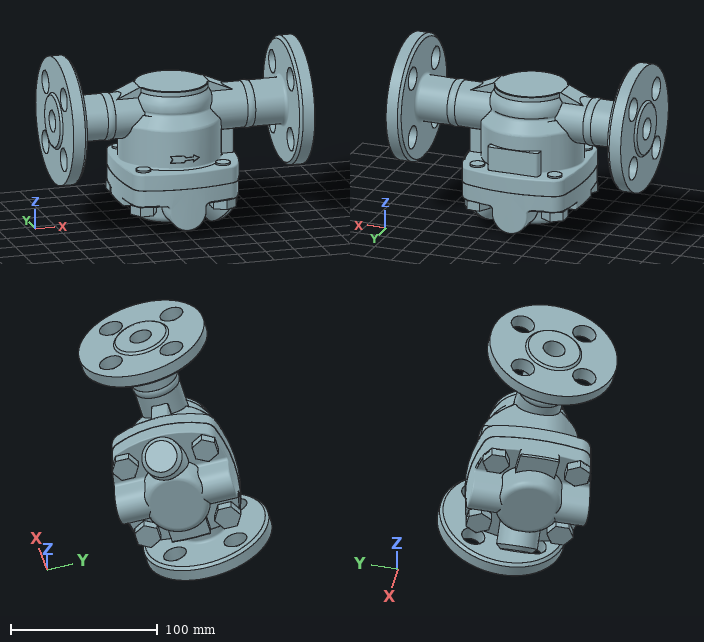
import cadquery as cq
import math

EMBED = 3.0
TOLERANCE = 0.01

FACE_TO_FACE = 175.0
PIPE_CENTRE_X = 3.0
FLANGE_D = 89.0
FLANGE_BACK = 12.0
FLANGE_CHAMFER = 2.0
RAISED_D = 39.0
RAISED_H = 1.6
RAISED_CHAMFER = 1.5
HUB_FILLET = 2.5
BOLT_CIRCLE_D = 60.5
LINE_BOLT_D = 16.0
LINE_BOLT_COUNT = 4
BORE_D = 15.0
BORE_DEPTH = 36.0
PIPE_D = 32.0
BEAD_H = 0.6
BEAD_W = 5.5
BEAD_CENTRE = 37.8

TOP_Z = 21.0
LIP_R = 25.2
LIP_CHAMFER = 0.5
LIP_BOTTOM_Z = 17.3
BULGE_TOP = (26.2, 15.5)
BULGE_R = 28.3
BULGE_Z = 10.0
BULGE_BOTTOM = (28.2, 6.2)
WAIST_R = 27.9
WAIST_Z = 4.4
CONE_TOP = (28.5, 3.3)
SHOULDER_Z = -4.3
BODY_R = 34.3
BODY_BASE_FILLET = 1.2
SHOULDER_FILLET = 3.0
FOOT_MAX_R = 36.95
FLARE_R = 28.0
FLARE_CENTRE_X = -8.9

WING_REACH = 41.5
WING_HALF_W = 8.2
WING_TIP_Z = 13.6

PAD_TOP_Z = -15.0
SIDE_PAD_X = 43.3
SIDE_PAD_W = 12.0
BACK_PAD_Y = 35.0
BACK_PAD_W = 37.0
PAD_CORNER = 2.0

ARROW_Z = -24.5
ARROW_H = 0.6
ARROW_TAIL_X = -10.5
ARROW_NOTCH = 1.5
ARROW_NECK_X = 0.0
ARROW_HEAD_X = 5.5
ARROW_TIP_X = 10.0
ARROW_HALF_W = 2.4
SHAFT_HALF_W = 1.0

SEAT_TOP_Z = -32.0
JOINT_Z = -43.9
COVER_BOTTOM_Z = -55.8
SEAT_LEFT_X = -39.5
SEAT_RIGHT_X = 44.8
SEAT_HALF_Y = 41.4
LEFT_CORNER = (-35.5, 35.4)
RIGHT_CORNER = (36.5, 35.2)
SEAT_CORNER_R = 9.5
SEAT_EDGE_FILLET = 1.5
COVER_EDGE_FILLET = 1.0
COVER_INSET = 0.2
RIM_MIN_X = 33.0
RIM_MIN_Y = 30.0
COVER_BOLT_PITCH = 56.6
COVER_BOLT_D = 10.0
COVER_BOLT_TIP = 1.2
HEX_AF = 16.0
HEX_H = 6.5

BOWL_BOTTOM_Z = -73.8
BOWL_R = 23.0
BOWL_DRAFT = 4.0
BOWL_SHIFT = 3.4
BOWL_FILLET = 4.5
BAR_R = 12.8
BAR_ROOT_FILLET = 2.5
TONGUE_W = 27.2
TONGUE_BOTTOM_Z = -60.8

STRAINER_D = 28.0
STRAINER_AXIS = (1, 0, -1)
STRAINER_RIM = (36.5, 0, -70.87)
STRAINER_CHAMFER = 3.0
STRAINER_LENGTH = 30.0


def disc(radius, bottom_z, top_z):
    return cq.Workplane("XY").workplane(offset=bottom_z).circle(radius).extrude(top_z - bottom_z)


def line_end():
    """Flange, weld bead and pipe from the raised face at x = 0 inward along +X, with no bore."""
    outer_r = FLANGE_D / 2
    raised_r = RAISED_D / 2
    pipe_r = PIPE_D / 2
    bead_start = BEAD_CENTRE - BEAD_W / 2
    end = (
        cq.Workplane("XY")
        .moveTo(0, 0)
        .lineTo(0, raised_r - RAISED_CHAMFER)
        .lineTo(RAISED_H, raised_r)
        .lineTo(RAISED_H, outer_r)
        .lineTo(FLANGE_BACK - FLANGE_CHAMFER, outer_r)
        .lineTo(FLANGE_BACK, outer_r - FLANGE_CHAMFER)
        .lineTo(FLANGE_BACK, pipe_r + HUB_FILLET)
        .radiusArc((FLANGE_BACK + HUB_FILLET, pipe_r), -HUB_FILLET)
        .lineTo(bead_start, pipe_r)
        .threePointArc((BEAD_CENTRE, pipe_r + BEAD_H), (bead_start + BEAD_W, pipe_r))
        .lineTo(FACE_TO_FACE / 2, pipe_r)
        .lineTo(FACE_TO_FACE / 2, 0)
        .close()
        .revolve(360, (0, 0, 0), (1, 0, 0))
    )
    holes = (
        cq.Workplane("YZ")
        .polarArray(BOLT_CIRCLE_D / 2, 180 / LINE_BOLT_COUNT, 360, LINE_BOLT_COUNT)
        .circle(LINE_BOLT_D / 2)
        .extrude(FLANGE_BACK)
    )
    return end.cut(holes)


def place_both_ends(end):
    """Put a copy of an inlet-side shape at each end of the pipe."""
    inlet = end.translate((-FACE_TO_FACE / 2, 0, 0))
    outlet = inlet.rotate((0, 0, 0), (0, 0, 1), 180)
    return inlet.union(outlet).translate((PIPE_CENTRE_X, 0, 0))


def bores():
    return place_both_ends(cq.Workplane("YZ").circle(BORE_D / 2).extrude(BORE_DEPTH))


def neck():
    """Top disc, bulge and waist above the cone of the barrel."""
    return (
        cq.Workplane("XZ")
        .moveTo(0, TOP_Z)
        .lineTo(LIP_R - LIP_CHAMFER, TOP_Z)
        .lineTo(LIP_R, TOP_Z - LIP_CHAMFER)
        .lineTo(LIP_R, LIP_BOTTOM_Z)
        .lineTo(*BULGE_TOP)
        .threePointArc((BULGE_R, BULGE_Z), BULGE_BOTTOM)
        .threePointArc((WAIST_R, WAIST_Z), CONE_TOP)
        .lineTo(CONE_TOP[0], SHOULDER_Z)
        .lineTo(0, SHOULDER_Z)
        .close()
        .revolve(360, (0, 0, 0), (0, 1, 0))
    )


def flared_outline(height):
    """Body circle joined to the smaller inlet-side circle by their two common tangents."""
    slope = math.acos((BODY_R - FLARE_R) / -FLARE_CENTRE_X)
    body_x = -BODY_R * math.cos(slope)
    body_y = BODY_R * math.sin(slope)
    flare_x = FLARE_CENTRE_X - FLARE_R * math.cos(slope)
    flare_y = FLARE_R * math.sin(slope)
    return (
        cq.Workplane("XY")
        .workplane(offset=height)
        .moveTo(body_x, -body_y)
        .threePointArc((BODY_R, 0), (body_x, body_y))
        .lineTo(flare_x, flare_y)
        .threePointArc((FLARE_CENTRE_X - FLARE_R, 0), (flare_x, -flare_y))
        .close()
    )


def barrel():
    """Straight wall from the flange to the shoulder, then a cone up to the waist."""
    cone_top_r, cone_top_z = CONE_TOP
    cone_height = cone_top_z - SHOULDER_Z
    cone_angle = math.degrees(math.atan2(BODY_R - cone_top_r, cone_height))
    straight = flared_outline(SEAT_TOP_Z).extrude(SHOULDER_Z - SEAT_TOP_Z)
    cone = flared_outline(SHOULDER_Z).extrude(cone_height, taper=cone_angle)
    return straight.union(cone).edges().filter(is_shoulder).fillet(SHOULDER_FILLET)


def wings():
    right = (
        cq.Workplane("XZ")
        .moveTo(0, TOP_Z)
        .lineTo(LIP_R - LIP_CHAMFER, TOP_Z)
        .lineTo(WING_REACH, WING_TIP_Z)
        .lineTo(WING_REACH, 0)
        .lineTo(0, 0)
        .close()
        .extrude(WING_HALF_W, both=True)
    )
    return right.union(right.mirror("YZ"))


def pads():
    height = PAD_TOP_Z - SEAT_TOP_Z
    base = cq.Workplane("XY").workplane(offset=SEAT_TOP_Z)
    side = (
        base.center(SIDE_PAD_X / 2, 0)
        .rect(SIDE_PAD_X, SIDE_PAD_W)
        .extrude(height)
        .edges("|Z and >X")
        .fillet(PAD_CORNER)
    )
    back = (
        base.center(0, BACK_PAD_Y / 2)
        .rect(BACK_PAD_W, BACK_PAD_Y)
        .extrude(height)
        .edges("|Z and >Y")
        .fillet(PAD_CORNER)
    )
    return side.union(back)


def flow_arrow():
    """Arrow pointing along +X, raised from the front of the body."""
    upper = [
        (ARROW_TAIL_X, ARROW_HALF_W),
        (ARROW_NECK_X - ARROW_HALF_W + SHAFT_HALF_W, ARROW_HALF_W),
        (ARROW_NECK_X, SHAFT_HALF_W),
        (ARROW_HEAD_X, SHAFT_HALF_W),
        (ARROW_HEAD_X, ARROW_HALF_W),
    ]
    lower = [(x, -z) for x, z in reversed(upper)]
    outline = upper + [(ARROW_TIP_X, 0)] + lower + [(ARROW_TAIL_X + ARROW_NOTCH, 0)]
    prism = (
        cq.Workplane("XZ")
        .center(0, ARROW_Z)
        .polyline(outline)
        .close()
        .extrude(BODY_R + EMBED)
    )
    shell = disc(BODY_R + ARROW_H, SEAT_TOP_Z, SHOULDER_Z)
    return prism.intersect(shell)


def is_level(edge, height):
    return all(abs(point.z - height) < TOLERANCE for point in (edge.startPoint(), edge.endPoint()))


def is_shoulder(edge):
    """True for the edges between the barrel and the cone above it."""
    return is_level(edge, SHOULDER_Z)


def is_barrel_foot(edge):
    """True for the edges at the flange top that lie on the barrel."""
    ends = [edge.startPoint(), edge.endPoint()]
    return is_level(edge, SEAT_TOP_Z) and all(math.hypot(point.x, point.y) < FOOT_MAX_R for point in ends)


def seat(bottom_z, top_z, inset=0.0):
    """Four-sided plate with bowed sides and rounded corners, drawn in all round by the inset."""
    left_x, left_y = LEFT_CORNER[0] + inset, LEFT_CORNER[1] - inset
    right_x, right_y = RIGHT_CORNER[0] - inset, RIGHT_CORNER[1] - inset
    half_y = SEAT_HALF_Y - inset
    return (
        cq.Workplane("XY")
        .workplane(offset=bottom_z)
        .moveTo(left_x, left_y)
        .threePointArc((0, half_y), (right_x, right_y))
        .threePointArc((SEAT_RIGHT_X - inset, 0), (right_x, -right_y))
        .threePointArc((0, -half_y), (left_x, -left_y))
        .threePointArc((SEAT_LEFT_X + inset, 0), (left_x, left_y))
        .close()
        .extrude(top_z - bottom_z)
        .edges("|Z")
        .fillet(SEAT_CORNER_R)
    )


def cross_bar():
    """Round-bottomed bar along Y with flared roots, trimmed to the outline of the cover."""
    centre_z = BOWL_BOTTOM_Z + BAR_R
    root_x = BAR_R + BAR_ROOT_FILLET
    root_z = COVER_BOTTOM_Z - BAR_ROOT_FILLET
    bar = (
        cq.Workplane("XZ")
        .moveTo(-root_x, COVER_BOTTOM_Z)
        .radiusArc((-BAR_R, root_z), BAR_ROOT_FILLET)
        .lineTo(-BAR_R, centre_z)
        .threePointArc((0, BOWL_BOTTOM_Z), (BAR_R, centre_z))
        .lineTo(BAR_R, root_z)
        .radiusArc((root_x, COVER_BOTTOM_Z), BAR_ROOT_FILLET)
        .close()
        .extrude(SEAT_HALF_Y + EMBED, both=True)
    )
    return bar.intersect(seat(BOWL_BOTTOM_Z, COVER_BOTTOM_Z, COVER_INSET))


def side_tongue():
    length = EMBED - SEAT_LEFT_X
    block = (
        cq.Workplane("XY")
        .workplane(offset=TONGUE_BOTTOM_Z)
        .center(-length / 2, 0)
        .rect(length, TONGUE_W)
        .extrude(COVER_BOTTOM_Z - TONGUE_BOTTOM_Z)
    )
    return block.intersect(seat(TONGUE_BOTTOM_Z, COVER_BOTTOM_Z, COVER_INSET))


def is_cover_rim(edge):
    """True for the lower outer edges of the cover, around the bar ends and the tongue too."""
    centre = edge.Center()
    at_outline = abs(centre.y) > RIM_MIN_Y or abs(centre.x) > RIM_MIN_X
    return at_outline and centre.z < COVER_BOTTOM_Z + COVER_EDGE_FILLET


def cover():
    plate = seat(COVER_BOTTOM_Z, JOINT_Z, COVER_INSET)
    cast = plate.union(cross_bar()).union(side_tongue())
    return cast.edges().filter(is_cover_rim).fillet(COVER_EDGE_FILLET)


def bowl():
    return (
        cq.Workplane("XY")
        .workplane(offset=COVER_BOTTOM_Z)
        .center(-BOWL_SHIFT / 2, 0)
        .slot2D(2 * BOWL_R + BOWL_SHIFT, 2 * BOWL_R)
        .extrude(BOWL_BOTTOM_Z - COVER_BOTTOM_Z, taper=BOWL_DRAFT)
        .faces("<Z")
        .edges()
        .fillet(BOWL_FILLET)
    )


def strainer_boss():
    rim = cq.Plane(origin=STRAINER_RIM, xDir=(0, 1, 0), normal=STRAINER_AXIS)
    boss = (
        cq.Workplane(rim)
        .workplane(offset=STRAINER_CHAMFER)
        .circle(STRAINER_D / 2)
        .extrude(-STRAINER_LENGTH)
    )
    end_face = cq.selectors.DirectionMinMaxSelector(cq.Vector(*STRAINER_AXIS))
    return boss.faces(end_face).chamfer(STRAINER_CHAMFER)


def cover_bolts():
    """Four bolts through the corners, each turned a quarter turn from the one before."""
    offset = COVER_BOLT_PITCH / 2
    bolt_count = 4
    head = (
        cq.Workplane("XY")
        .workplane(offset=COVER_BOTTOM_Z - HEX_H)
        .polygon(6, HEX_AF / math.cos(math.pi / 6))
        .extrude(HEX_H)
    )
    bolt = head.union(disc(COVER_BOLT_D / 2, COVER_BOTTOM_Z, SEAT_TOP_Z + COVER_BOLT_TIP))
    first = bolt.translate((-offset, -offset, 0))
    bolts = first
    for quarter in range(1, bolt_count):
        bolts = bolts.union(first.rotate((0, 0, 0), (0, 0, 1), 360 / bolt_count * quarter))
    return bolts


def body():
    """Neck, barrel and upper flange, with the foot of the barrel blended into the flange."""
    flange = seat(JOINT_Z, SEAT_TOP_Z).faces(">Z").edges().fillet(SEAT_EDGE_FILLET)
    casting = flange.union(barrel()).union(neck())
    return casting.edges().filter(is_barrel_foot).fillet(BODY_BASE_FILLET)


result = place_both_ends(line_end())
for feature in (
    body(),
    wings(),
    pads(),
    flow_arrow(),
    cover(),
    bowl(),
    strainer_boss(),
    cover_bolts(),
):
    result = result.union(feature)
result = result.cut(bores())